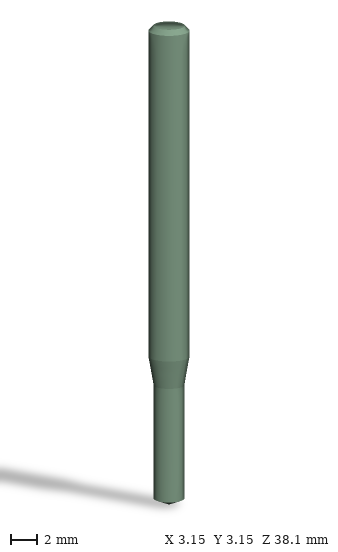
import cadquery as cq
import math

total_length = 38.1
shank_diameter = 3.15
shank_length = 26.3
shank_chamfer = 0.4
cutter_diameter = 2.35
taper_length = 2.3
point_angle = 135.0

shank_radius = shank_diameter / 2
cutter_radius = cutter_diameter / 2
point_height = cutter_radius / math.tan(math.radians(point_angle / 2))
taper_top = total_length - shank_length
taper_bottom = taper_top - taper_length

profile = (
    cq.Workplane("XZ")
    .moveTo(0, 0)
    .lineTo(cutter_radius, point_height)
    .lineTo(cutter_radius, taper_bottom)
    .lineTo(shank_radius, taper_top)
    .lineTo(shank_radius, total_length - shank_chamfer)
    .lineTo(shank_radius - shank_chamfer, total_length)
    .lineTo(0, total_length)
    .close()
)

result = profile.revolve(360, (0, 0, 0), (0, 1, 0))